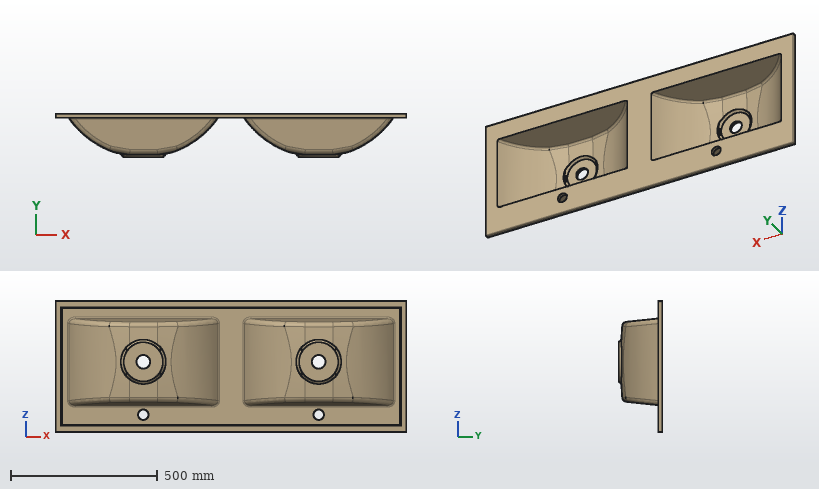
import cadquery as cq
import math


slab_length = 1199.83
slab_height = 449.91
slab_thickness = 15.0
slab_edge_radius = 2.8

recess_end_margin = 18.0
recess_side_margin = 21.5
recess_depth = 2.5
recess_wall_run = 5.0

overall_depth = 150.0
bowl_spacing = 600.0
bowl_center_z = 16.0
bowl_half_length = 255.0
bowl_half_height = 148.7
wall_draft = math.radians(6.0)
bottom_arc_depth = 134.0
crest_depth = 127.5
crest_flat_half = 48.0
crest_slope = math.radians(10.0)
crest_bulge_radius = 1700.0
bowl_edge_radius = 18.0
bowl_root_radius = 6.0
wall_thickness = 10.0

pad_root_diameter = 154.0
pad_face_diameter = 134.0
pad_height = 10.0
drain_diameter = 46.0
tap_hole_diameter = 35.0
tap_hole_z = -165.0

slab_face_y = -slab_thickness
pad_face_y = -overall_depth
recess_floor_y = slab_face_y + recess_depth
bottom_arc_radius = (bowl_half_length**2 + bottom_arc_depth**2) / (2 * bottom_arc_depth)
bottom_axis_y = slab_face_y - bottom_arc_depth + bottom_arc_radius
crest_axis_y = slab_face_y - crest_depth + crest_bulge_radius
bowl_positions = [(-bowl_spacing / 2, 0, 0), (bowl_spacing / 2, 0, 0)]


def make_slab():
    slab = cq.Workplane("XY").box(slab_length, slab_thickness, slab_height)
    slab = slab.translate((0, -slab_thickness / 2, 0))
    return slab.edges("|Y or >Y").fillet(slab_edge_radius)


def make_recess():
    """Tool that narrows from the slab face to the recess floor."""
    length = slab_length - 2 * recess_end_margin
    height = slab_height - 2 * recess_side_margin
    return (
        cq.Workplane("XZ", origin=(0, slab_face_y, 0))
        .rect(length, height)
        .workplane(offset=-recess_depth)
        .rect(length - 2 * recess_wall_run, height - 2 * recess_wall_run)
        .loft()
    )


def make_bottom_cylinder(inset):
    """Cylinder along Z that bounds the curved bottom of a bowl."""
    return (
        cq.Workplane("XY", origin=(0, bottom_axis_y, 0))
        .circle(bottom_arc_radius - inset)
        .extrude(slab_height, both=True)
    )


def make_wall_wedge(inset, open_y):
    """Prism along X that bounds the drafted upper and lower walls, from y = open_y to the pad."""
    def half_height(y):
        return bowl_half_height - inset / math.cos(wall_draft) + (y - slab_face_y) * math.tan(wall_draft)

    outline = [
        (open_y, -half_height(open_y)),
        (open_y, half_height(open_y)),
        (pad_face_y, half_height(pad_face_y)),
        (pad_face_y, -half_height(pad_face_y)),
    ]
    return (
        cq.Workplane("YZ", origin=(0, 0, bowl_center_z))
        .polyline(outline)
        .close()
        .extrude(bottom_arc_radius, both=True)
    )


def make_crest_limit(inset):
    """Body whose -Y side is the crest: a level strip and two sloping ones, bulged along Z."""
    crest_y = slab_face_y - crest_depth + inset
    flat_half = crest_flat_half - inset * math.tan(crest_slope / 2)
    end_x = bottom_arc_radius
    end_y = crest_y + (end_x - flat_half) * math.tan(crest_slope)
    back_y = bottom_axis_y
    outline = [
        (-flat_half, crest_y),
        (flat_half, crest_y),
        (end_x, end_y),
        (end_x, back_y),
        (-end_x, back_y),
        (-end_x, end_y),
    ]
    turn = 2 * math.degrees(math.asin(slab_height / crest_bulge_radius))
    axis_start = (0, crest_axis_y, 0)
    axis_end = (1, crest_axis_y, 0)
    return (
        cq.Workplane("XY")
        .polyline(outline)
        .close()
        .revolve(turn, axis_start, axis_end)
        .rotate(axis_start, axis_end, -turn / 2)
        .translate((0, 0, bowl_center_z))
    )


def make_bowl(inset, open_y):
    """Solid bowl shape, offset inward by inset and reaching back to the plane y = open_y."""
    bowl = (
        make_wall_wedge(inset, open_y)
        .intersect(make_bottom_cylinder(inset))
        .intersect(make_crest_limit(inset))
    )
    walls = [face for face in bowl.faces("%PLANE").vals() if abs(face.normalAt().z) > abs(face.normalAt().y)]
    wall_edges = [edge for face in walls for edge in face.Edges() if edge.Center().y < open_y - wall_thickness / 2]
    return bowl.newObject(wall_edges).fillet(bowl_edge_radius - inset)


def fillet_bowl_roots(body):
    """Round the edges where the bowls meet the recess floor."""
    tolerance = recess_depth / 10
    floors = [face for face in body.faces("|Y").vals() if abs(face.Center().y - recess_floor_y) < tolerance]
    root_edges = [edge for face in floors for wire in face.innerWires() for edge in wire.Edges()]
    return body.newObject(root_edges).fillet(bowl_root_radius)


def make_drain_pad(inset):
    """Round pad with a sloping side, offset inward by inset."""
    return (
        cq.Workplane("XZ", origin=(0, pad_face_y + inset, bowl_center_z))
        .circle(pad_face_diameter / 2 - inset)
        .workplane(offset=-pad_height)
        .circle(pad_root_diameter / 2 - inset)
        .loft()
    )


def make_hole(diameter, z):
    return cq.Workplane("XZ", origin=(0, 0, z)).circle(diameter / 2).extrude(overall_depth)


outer_bowl = make_bowl(0, recess_floor_y)
inner_bowl = make_bowl(wall_thickness, 0)

result = make_slab().cut(make_recess())
for position in bowl_positions:
    result = result.union(outer_bowl.translate(position))

result = fillet_bowl_roots(result)

for position in bowl_positions:
    result = result.union(make_drain_pad(0).translate(position))
    result = result.cut(inner_bowl.translate(position))
    result = result.cut(make_drain_pad(wall_thickness).translate(position))
    result = result.cut(make_hole(drain_diameter, bowl_center_z).translate(position))
    result = result.cut(make_hole(tap_hole_diameter, tap_hole_z).translate(position))